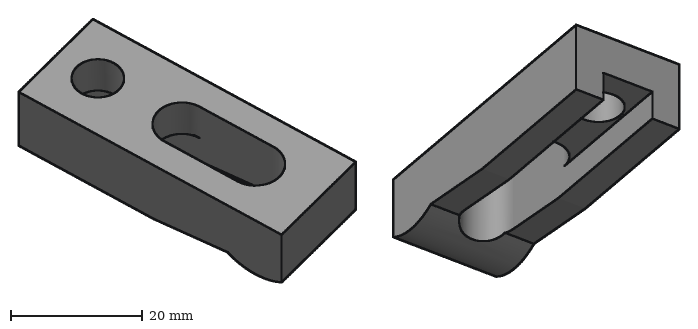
import cadquery as cq
import math

length = 50
width = 19
height = 12

ramp_start_x = 25.7
ramp_end_x = 39.7
nose_center_x = 45
nose_radius = 10

hole_x = 8
hole_diameter = 8
slot_start_x = 19.5
slot_end_x = 42.5
slot_width = 9
channel_height = 5

slot_length = slot_end_x - slot_start_x
slot_center_x = (slot_start_x + slot_end_x) / 2


def nose_height(x):
    """Height of the nose arc above its lowest point."""
    return nose_radius - math.sqrt(nose_radius**2 - (x - nose_center_x)**2)


def make_body():
    """Side profile with the ramp and the nose, extruded across the width."""
    return (
        cq.Workplane("XZ")
        .lineTo(ramp_start_x, 0)
        .lineTo(ramp_end_x, nose_height(ramp_end_x))
        .threePointArc((nose_center_x, 0), (length, nose_height(length)))
        .lineTo(length, height)
        .lineTo(0, height)
        .close()
        .extrude(width / 2, both=True)
    )


def make_hole():
    return cq.Workplane("XY").center(hole_x, 0).circle(hole_diameter / 2).extrude(height)


def make_slot():
    return cq.Workplane("XY").center(slot_center_x, 0).slot2D(slot_length, slot_width).extrude(height)


def make_channel():
    """Open at the X = 0 end, running into the slot at its middle."""
    return cq.Workplane("XY").box(
        slot_center_x, slot_width, channel_height, centered=(False, True, False)
    )


result = make_body().cut(make_hole()).cut(make_slot()).cut(make_channel())